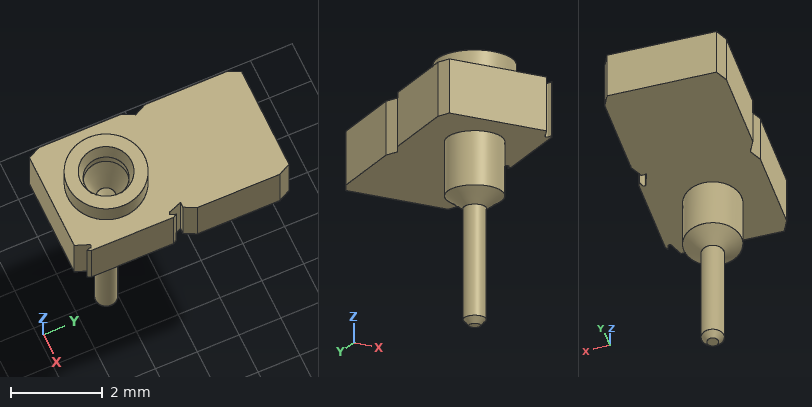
import cadquery as cq

width = 2.77
pitch = 2.5405
front_y = -pitch / 2
waist_y = pitch / 2
back_y = waist_y + pitch
side_x = width / 2
housing_height = 1.27
corner_x = 0.14
corner_y = 0.285
step_x = 1.115
groove_x = 1.27
groove_radius = 0.04
lip_inset = 0.04

collar_diameter = 1.83
collar_height = 0.525
barrel_diameter = 1.32
barrel_length = 1.27
shoulder_height = 0.29
tail_diameter = 0.51
tip_diameter = 0.255
tip_height = 0.14
total_height = 6.1
top_z = housing_height + collar_height
bottom_z = top_z - total_height

mouth_diameter = 1.215
bore_diameter = 1.0
mouth_depth = 0.29
bore_depth = 0.495
funnel_diameter = 0.445
funnel_depth = 1.22
floor_diameter = 0.06
floor_depth = 1.34


def make_housing():
    """Housing block with bevelled corners, a waist and two grooves, bored for the contact."""
    bevel_x = side_x - corner_x
    front_bevel_y = front_y + corner_y
    waist_front_y = waist_y - corner_y
    waist_back_y = waist_y + corner_y
    lip_x = side_x - lip_inset
    lip_rise = lip_inset * corner_y / corner_x
    groove_left = groove_x - groove_radius
    groove_right = groove_x + groove_radius
    outline = (
        cq.Workplane("XY")
        .moveTo(-bevel_x, front_y)
        .lineTo(step_x, front_y)
        .lineTo(groove_left, front_bevel_y)
        .threePointArc((groove_x, front_bevel_y + groove_radius), (groove_right, front_bevel_y))
        .lineTo(lip_x, front_bevel_y - lip_rise)
        .lineTo(side_x, front_bevel_y)
        .lineTo(side_x, waist_front_y)
        .lineTo(lip_x, waist_front_y + lip_rise)
        .lineTo(groove_right, waist_front_y)
        .threePointArc((groove_x, waist_front_y - groove_radius), (groove_left, waist_front_y))
        .lineTo(step_x, waist_y)
        .lineTo(bevel_x, waist_y)
        .lineTo(side_x, waist_back_y)
        .lineTo(side_x, back_y - corner_y)
        .lineTo(bevel_x, back_y)
        .lineTo(-bevel_x, back_y)
        .lineTo(-side_x, back_y - corner_y)
        .lineTo(-side_x, waist_back_y)
        .lineTo(-bevel_x, waist_y)
        .lineTo(-side_x, waist_front_y)
        .lineTo(-side_x, front_bevel_y)
        .close()
    )
    block = outline.extrude(housing_height)
    contact_bore = cq.Workplane("XY").circle(barrel_diameter / 2).extrude(housing_height)
    return block.cut(contact_bore)


def make_socket():
    """Stepped conical cavity that opens at the top of the contact."""
    mouth_bottom_z = top_z - mouth_depth
    return (
        cq.Workplane("XZ")
        .moveTo(0, top_z)
        .lineTo(mouth_diameter / 2, top_z)
        .lineTo(bore_diameter / 2, mouth_bottom_z)
        .lineTo(bore_diameter / 2, top_z - bore_depth)
        .lineTo(funnel_diameter / 2, top_z - funnel_depth)
        .lineTo(floor_diameter / 2, top_z - floor_depth)
        .lineTo(0, top_z - floor_depth)
        .close()
        .revolve(360, (0, 0), (0, 1))
    )


def make_contact():
    """Turned contact: collar on the housing, barrel through it and a thin tail below."""
    shoulder_bottom_z = -barrel_length - shoulder_height
    turned = (
        cq.Workplane("XZ")
        .moveTo(0, top_z)
        .lineTo(collar_diameter / 2, top_z)
        .lineTo(collar_diameter / 2, housing_height)
        .lineTo(barrel_diameter / 2, housing_height)
        .lineTo(barrel_diameter / 2, -barrel_length)
        .lineTo(tail_diameter / 2, shoulder_bottom_z)
        .lineTo(tail_diameter / 2, bottom_z + tip_height)
        .lineTo(tip_diameter / 2, bottom_z)
        .lineTo(0, bottom_z)
        .close()
        .revolve(360, (0, 0), (0, 1))
    )
    return turned.cut(make_socket())


housing = make_housing()
contact = make_contact()
result = cq.Compound.makeCompound([housing.val(), contact.val()])